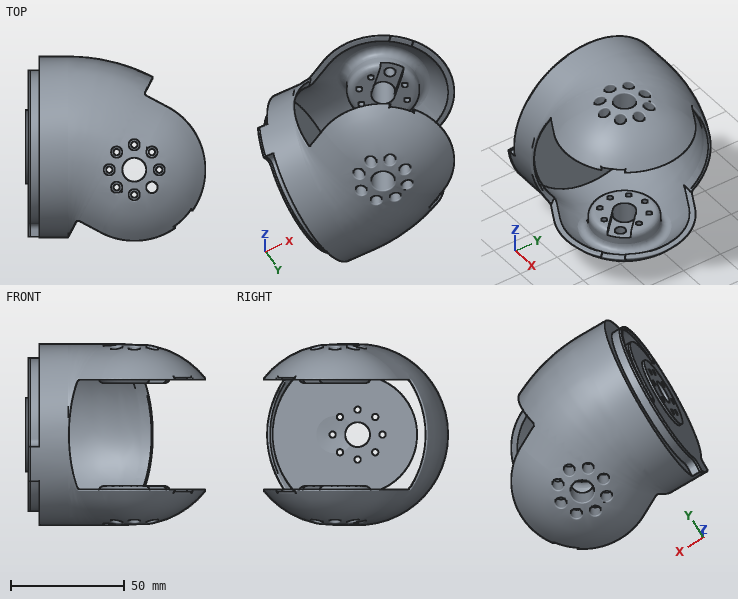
import cadquery as cq
import math

tube_radius = 40.0
cavity_radius = 37.5
bend_angle = 28.0
bend_radius = 41.4
neck_length = 11.0

boss_height = 1.1
plate_thickness = 1.0
shoulder_x = 6.0
cavity_floor_x = 8.15
bend_start_x = 18.8

mouth_half_height = 24.1
mouth_setback = 0.7
mouth_corner_radius = 1.0
swing_radius = 40.65
rim_fillet = 0.5

hub_radius = 32.0 / 2
hub_face_z = 22.6
hub_fillet = 3.0
channel_width = 10.4
channel_depth = 2.5
channel_angle = -45.0
channel_end_fillet = 1.0

screw_count = 8
screw_circle_radius = 11.0
screw_diameter = 2.7
screw_head_diameter = 5.0
screw_web = 3.0
arm_bore_diameter = 10.4
base_bore_diameter = 10.8

boss_diameter = 32.7
spigot_radius = 33.9
stop_start_angle = 7.7
stop_end_angle = 30.8
stop_fillet = 3.0
slot_outer_radius = 32.8
slot_width = 6.5
slot_half_angle = 72.0

plate_front_x = boss_height
plate_back_x = plate_front_x + plate_thickness
channel_floor_z = hub_face_z + channel_depth
screw_seat_z = hub_face_z + screw_web
screw_step = 360 / screw_count

bend = math.radians(bend_angle)
neck_x = bend_start_x + bend_radius * math.sin(bend)
neck_y = bend_radius * (math.cos(bend) - 1)
joint_x = neck_x + neck_length * math.cos(bend)
joint_y = neck_y - neck_length * math.sin(bend)
joint = cq.Workplane("XY", origin=(joint_x, joint_y, 0))
base = cq.Workplane("YZ")

beyond = 4 * tube_radius
tolerance = 0.01


def polar(radius, angle):
    """Point at a radius and an angle in radians."""
    return (radius * math.cos(angle), radius * math.sin(angle))


def on_surface(shape, point):
    """True where the point lies on the surface of the shape."""
    vertex = cq.Vertex.makeVertex(*point.toTuple())
    return min(vertex.distance(face) for face in shape.Faces()) < tolerance


def shared_edges(body, first, second):
    """Edges of the body that lie on the surfaces of both other shapes."""
    return [
        edge
        for edge in body.edges().vals()
        if on_surface(first.val(), edge.positionAt(0.5)) and on_surface(second.val(), edge.positionAt(0.5))
    ]


def elbow(radius, start_x):
    """Solid elbow: straight tube, bend, straight neck and spherical end."""
    straight = base.workplane(offset=start_x).circle(radius).extrude(bend_start_x - start_x)
    curve = (
        base.workplane(offset=bend_start_x)
        .circle(radius)
        .revolve(bend_angle, (-bend_radius, 0.8, 0), (-bend_radius, 0, 0))
    )
    neck_plane = cq.Plane((neck_x, neck_y, 0), (0, 0, 1), (math.cos(bend), -math.sin(bend), 0))
    neck = cq.Workplane(neck_plane).circle(radius).extrude(neck_length)
    return straight.union(curve).union(neck).union(joint.sphere(radius))


def mouth():
    """Block that is cleared between the arms, square to the neck, with rounded inner corners."""
    block = (
        cq.Workplane("XY")
        .box(beyond, beyond, 2 * mouth_half_height, centered=(False, True, True))
        .edges("|Y and <X")
        .fillet(mouth_corner_radius)
        .translate((-mouth_setback, 0, 0))
    )
    return block.rotate((0, 0, 0), (0, 0, 1), -bend_angle).translate((neck_x, neck_y, 0))


def swing_space():
    """Mouth with a ball about the joint that thins the tube wall behind the rounded rim."""
    block = mouth()
    ball = joint.sphere(swing_radius).intersect(joint.box(beyond, beyond, 2 * mouth_half_height))
    space = block.union(ball)
    inner_rim = [edge for edge in shared_edges(space, block, ball) if abs(edge.Center().z) < tolerance]
    return space.newObject(inner_rim).fillet(rim_fillet)


def channel():
    """Straight channel from the joint axis outwards, cut into both hubs and the rim of both arms."""
    return (
        cq.Workplane("XY")
        .box(beyond, channel_width, 2 * channel_floor_z, centered=(False, True, True))
        .rotate((0, 0, 0), (0, 0, 1), channel_angle)
        .translate((joint_x, joint_y, 0))
    )


def arm_screws(diameter, start_z, end_z):
    """Cylinders at every screw place of an arm except the one in the channel."""
    return (
        joint.workplane(offset=start_z)
        .polarArray(screw_circle_radius, channel_angle + screw_step, screw_step, screw_count - 1, fill=False)
        .circle(diameter / 2)
        .extrude(end_z - start_z)
    )


def arm_openings():
    """Bore, wide hole in the channel and screw head recesses of both arms."""
    bore = joint.circle(arm_bore_diameter / 2).extrude(tube_radius, both=True)
    wide_hole = (
        joint.transformed(rotate=(0, 0, channel_angle))
        .center(screw_circle_radius, 0)
        .circle(screw_head_diameter / 2)
        .extrude(tube_radius, both=True)
    )
    upper_heads = arm_screws(screw_head_diameter, screw_seat_z, tube_radius)
    lower_heads = arm_screws(screw_head_diameter, -tube_radius, -screw_seat_z)
    return bore.union(wide_hole).union(upper_heads).union(lower_heads)


def skin():
    """Solid outside of tube and arms, with the openings cut and their outer rims rounded."""
    whole = elbow(tube_radius, shoulder_x)
    openings = mouth().union(channel()).union(arm_openings())
    body = whole.cut(openings)
    rims = shared_edges(body, whole, openings)
    return body.newObject(rims).fillet(rim_fillet).cut(swing_space())


def hub_disc():
    """Upper hub disc, reaching up to the outside of the arm."""
    return joint.workplane(offset=hub_face_z).circle(hub_radius).extrude(tube_radius - hub_face_z)


def hub():
    """Upper hub disc with a rounded face edge."""
    return hub_disc().faces("<Z").edges().fillet(hub_fillet)


def hub_with_channel():
    """Upper hub with the round-ended channel, trimmed to end inside the wall of the arm."""
    end_x, end_y = polar(hub_radius, math.radians(channel_angle))
    channel_end = (joint_x + end_x, joint_y + end_y, channel_floor_z)
    grooved = hub_disc().cut(channel())
    grooved = grooved.edges(cq.selectors.NearestToPointSelector(channel_end)).fillet(channel_end_fillet)
    wall_middle = joint.sphere((tube_radius + cavity_radius) / 2)
    return grooved.intersect(hub()).intersect(wall_middle)


def cavity():
    """Hollow of the housing around both hubs, with a fillet where each hub meets the wall."""
    upper_hub = hub()
    space = elbow(cavity_radius, cavity_floor_x).cut(upper_hub).cut(upper_hub.mirror("XY"))
    roots = []
    for edge in space.edges().vals():
        x, y, z = edge.positionAt(0.5).toTuple()
        on_hub = abs(math.hypot(x - joint_x, y - joint_y) - hub_radius) < tolerance
        if on_hub and abs(z) > hub_face_z + 2 * hub_fillet and edge.geomType() != "LINE":
            roots.append(edge)
    return space.newObject(roots).fillet(hub_fillet)


def base_slab(start_x, end_x):
    """Slice of the base: a round spigot with one stop lug that reaches out to the tube radius."""
    length = end_x - start_x
    section = base.workplane(offset=start_x)
    tube = section.circle(tube_radius).extrude(length)
    lug_corners = [polar(beyond, math.pi + math.radians(angle)) for angle in (stop_start_angle, stop_end_angle)]
    lug = section.polyline([(0, 0), *lug_corners]).close().extrude(length).intersect(tube)
    slab = section.circle(spigot_radius).extrude(length).union(lug)
    lug_roots = []
    for edge in slab.edges("|X").vals():
        center = edge.Center()
        if center.y < 0 and abs(math.hypot(center.y, center.z) - spigot_radius) < tolerance:
            lug_roots.append(edge)
    return slab.newObject(lug_roots).fillet(stop_fillet)


def arc_slot():
    """Curved slot with round ends on the +Y side of the base, through to the cavity."""
    inner_radius = slot_outer_radius - slot_width
    middle_radius = slot_outer_radius - slot_width / 2
    end_angle = math.radians(slot_half_angle)
    tip_angle = end_angle + slot_width / 2 / middle_radius
    return (
        base.moveTo(*polar(inner_radius, -end_angle))
        .threePointArc((inner_radius, 0), polar(inner_radius, end_angle))
        .threePointArc(polar(middle_radius, tip_angle), polar(slot_outer_radius, end_angle))
        .threePointArc((slot_outer_radius, 0), polar(slot_outer_radius, -end_angle))
        .threePointArc(polar(middle_radius, -tip_angle), polar(inner_radius, -end_angle))
        .close()
        .extrude(cavity_floor_x)
    )


def base_holes():
    """Centre bore and screw holes through the boss and the base."""
    bore = base.circle(base_bore_diameter / 2).extrude(cavity_floor_x)
    screws = (
        base.polarArray(screw_circle_radius, 0, 360, screw_count)
        .circle(screw_diameter / 2)
        .extrude(cavity_floor_x)
    )
    return bore.union(screws)


def make_housing():
    """Elbow housing: hollow tube with two arms, their hubs, the base spigot and its boss."""
    upper_hub = hub_with_channel()
    boss = base.circle(boss_diameter / 2).extrude(shoulder_x)
    body = skin().cut(cavity()).union(upper_hub).union(upper_hub.mirror("XY"))
    body = body.union(base_slab(plate_back_x, shoulder_x)).union(boss)
    body = body.cut(arm_openings()).cut(arm_screws(screw_diameter, -tube_radius, tube_radius))
    return body.cut(base_holes()).cut(arc_slot())


def make_end_plate():
    """Thin plate around the boss with the outline of the base."""
    plate = base_slab(plate_front_x, plate_back_x)
    boss_hole = base.circle(boss_diameter / 2).extrude(plate_back_x)
    return plate.cut(boss_hole).cut(arc_slot())


housing = make_housing()
end_plate = make_end_plate()
result = cq.Compound.makeCompound([housing.val(), end_plate.val()])